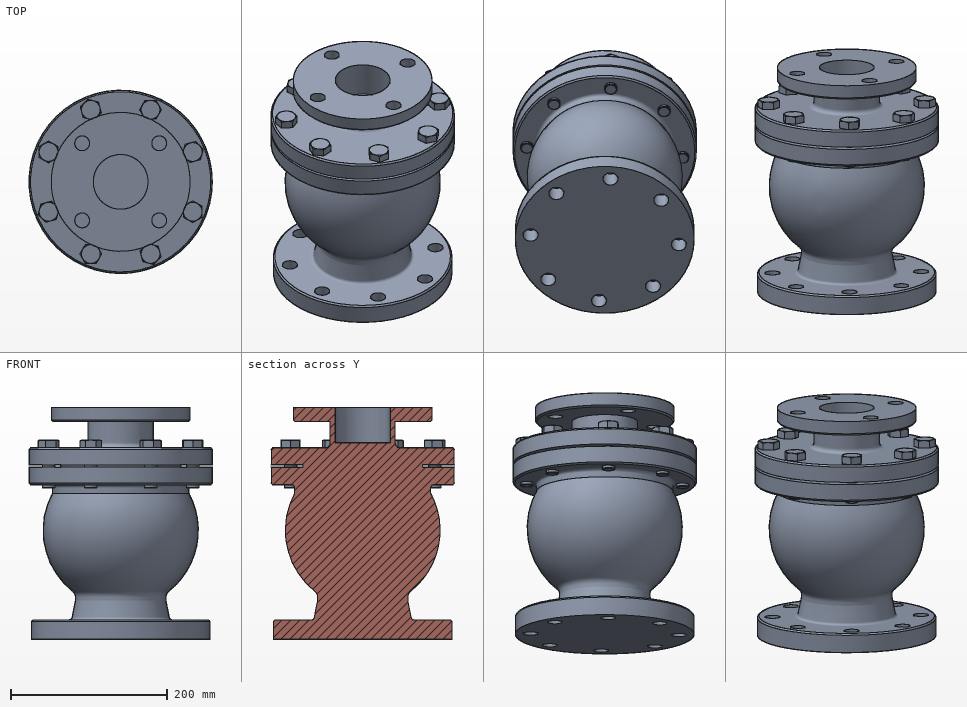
import cadquery as cq
import math

total_height = 297.0
base_flange_thickness = 25.0
throat_bottom_z = 49.5
body_centre_z = 139.5
cover_joint_bottom_z = 220.5
gasket_thickness = 3.0
body_flange_thickness = 22.5
cover_thickness = 22.0
top_flange_thickness = 18.0

base_flange_diameter = 229.0
base_cone_radius = 63.0
throat_radius = 116.0 / 2
throat_fillet = 10.0
body_radius = 99.5
collar_radius = 175.0 / 2
clamp_flange_diameter = 235.0
gasket_diameter = 154.0
neck_diameter = 84.0
top_flange_diameter = 178.0
rim_chamfer = 2.0
base_fillet = 4.2
collar_fillet = 4.2
neck_fillet = 6.2

bore_diameter = 70.0
bore_depth = 45.0
flange_hole_diameter = 19.0
base_hole_circle = 190.5
base_hole_count = 8
top_hole_circle = 139.5
top_hole_count = 4

bolt_count = 8
bolt_circle = 200.0
bolt_diameter = 16.0
bolt_tip_chamfer = 1.0
bolt_protrusion = 4.2
head_across_flats = 24.0
head_height = 9.8
head_chamfer_angle = 30.0
first_bolt_angle = 22.5
first_head_corner_angle = 15.0

body_flange_bottom_z = cover_joint_bottom_z - body_flange_thickness
cover_bottom_z = cover_joint_bottom_z + gasket_thickness
cover_top_z = cover_bottom_z + cover_thickness
top_flange_bottom_z = total_height - top_flange_thickness


def disc(diameter, bottom_z, height):
    return cq.Workplane("XY").workplane(offset=bottom_z).circle(diameter / 2).extrude(height)


def polar_positions(count, circle_diameter):
    """Evenly spaced points on a circle, straddling the X and Y axes."""
    step = 360 / count
    return [
        (
            circle_diameter / 2 * math.cos(math.radians((i + 0.5) * step)),
            circle_diameter / 2 * math.sin(math.radians((i + 0.5) * step)),
        )
        for i in range(count)
    ]


def flange_holes(count, circle_diameter, bottom_z, depth):
    return (
        cq.Workplane("XY")
        .workplane(offset=bottom_z)
        .pushPoints(polar_positions(count, circle_diameter))
        .circle(flange_hole_diameter / 2)
        .extrude(depth)
    )


def make_base_flange():
    flange = disc(base_flange_diameter, 0, base_flange_thickness).faces(">Z").chamfer(rim_chamfer)
    return flange.cut(flange_holes(base_hole_count, base_hole_circle, 0, base_flange_thickness))


def make_body():
    """Cone, throat, spherical bowl and collar turned as one profile, from base to body flange."""
    fillet_x = throat_radius + throat_fillet
    reach = body_radius + throat_fillet
    fillet_z = body_centre_z - math.sqrt(reach**2 - fillet_x**2)
    bowl_bottom_x = fillet_x * body_radius / reach
    bowl_bottom_z = body_centre_z + (fillet_z - body_centre_z) * body_radius / reach
    middle_angle = (math.pi + math.atan2(body_centre_z - fillet_z, -fillet_x)) / 2
    fillet_middle = (
        fillet_x + throat_fillet * math.cos(middle_angle),
        fillet_z + throat_fillet * math.sin(middle_angle),
    )
    bowl_top_z = body_centre_z + math.sqrt(body_radius**2 - collar_radius**2)

    cone_height = throat_bottom_z - base_flange_thickness
    cone_tilt = math.atan2(base_cone_radius - throat_radius, cone_height)
    tangent_length = base_fillet * math.tan((math.pi / 2 - cone_tilt) / 2)
    base_fillet_x = base_cone_radius + tangent_length
    base_fillet_z = base_flange_thickness + base_fillet
    base_fillet_end = (
        base_cone_radius - tangent_length * math.sin(cone_tilt),
        base_flange_thickness + tangent_length * math.cos(cone_tilt),
    )
    base_middle_angle = math.pi + (math.pi / 2 - cone_tilt) / 2 + cone_tilt
    base_fillet_middle = (
        base_fillet_x + base_fillet * math.cos(base_middle_angle),
        base_fillet_z + base_fillet * math.sin(base_middle_angle),
    )

    collar_fillet_drop = collar_fillet * (1 - math.sqrt(0.5))
    collar_fillet_middle = (
        collar_radius + collar_fillet_drop,
        body_flange_bottom_z - collar_fillet_drop,
    )
    return (
        cq.Workplane("XZ")
        .moveTo(0, base_flange_thickness)
        .lineTo(base_fillet_x, base_flange_thickness)
        .threePointArc(base_fillet_middle, base_fillet_end)
        .lineTo(throat_radius, throat_bottom_z)
        .lineTo(throat_radius, fillet_z)
        .threePointArc(fillet_middle, (bowl_bottom_x, bowl_bottom_z))
        .threePointArc((body_radius, body_centre_z), (collar_radius, bowl_top_z))
        .lineTo(collar_radius, body_flange_bottom_z - collar_fillet)
        .threePointArc(collar_fillet_middle, (collar_radius + collar_fillet, body_flange_bottom_z))
        .lineTo(0, body_flange_bottom_z)
        .close()
        .revolve(360, (0, 0, 0), (0, 1, 0))
    )


def make_clamp_flanges():
    lower = disc(clamp_flange_diameter, body_flange_bottom_z, body_flange_thickness)
    gasket = disc(gasket_diameter, cover_joint_bottom_z, gasket_thickness)
    cover = disc(clamp_flange_diameter, cover_bottom_z, cover_thickness)
    lower = lower.faces("<Z").chamfer(rim_chamfer)
    cover = cover.faces(">Z").chamfer(rim_chamfer)
    return lower.union(gasket).union(cover)


def make_neck():
    neck_radius = neck_diameter / 2
    fillet_rise = neck_fillet * (1 - math.sqrt(0.5))
    return (
        cq.Workplane("XZ")
        .moveTo(0, cover_top_z)
        .lineTo(neck_radius + neck_fillet, cover_top_z)
        .threePointArc(
            (neck_radius + fillet_rise, cover_top_z + fillet_rise),
            (neck_radius, cover_top_z + neck_fillet),
        )
        .lineTo(neck_radius, top_flange_bottom_z)
        .lineTo(0, top_flange_bottom_z)
        .close()
        .revolve(360, (0, 0, 0), (0, 1, 0))
    )


def make_top_flange():
    flange = disc(top_flange_diameter, top_flange_bottom_z, top_flange_thickness)
    flange = flange.faces("<Z").chamfer(rim_chamfer)
    holes = flange_holes(top_hole_count, top_hole_circle, top_flange_bottom_z, top_flange_thickness)
    return flange.cut(holes)


def make_first_bolt():
    """Hexagon-head bolt whose head corners are trimmed by a cone."""
    tip_z = body_flange_bottom_z - bolt_protrusion
    shank = disc(bolt_diameter, tip_z, cover_top_z - tip_z).faces("<Z").chamfer(bolt_tip_chamfer)

    across_corners = head_across_flats / math.cos(math.pi / 6)
    corner_inset = (across_corners - head_across_flats) / 2
    corner_drop = corner_inset * math.tan(math.radians(head_chamfer_angle))
    trim = (
        disc(across_corners, cover_top_z, head_height)
        .faces(">Z")
        .chamfer(corner_drop, corner_inset)
    )
    head = (
        cq.Workplane("XY")
        .workplane(offset=cover_top_z)
        .polygon(6, across_corners)
        .extrude(head_height)
        .rotate((0, 0, 0), (0, 0, 1), first_head_corner_angle - first_bolt_angle)
        .intersect(trim)
    )
    return (
        shank.union(head)
        .translate((bolt_circle / 2, 0, 0))
        .rotate((0, 0, 0), (0, 0, 1), first_bolt_angle)
    )


result = (
    make_base_flange()
    .union(make_body())
    .union(make_clamp_flanges())
    .union(make_neck())
    .union(make_top_flange())
)

first_bolt = make_first_bolt()
for i in range(bolt_count):
    result = result.union(first_bolt.rotate((0, 0, 0), (0, 0, 1), i * 360 / bolt_count))

result = result.cut(disc(bore_diameter, total_height - bore_depth, bore_depth))